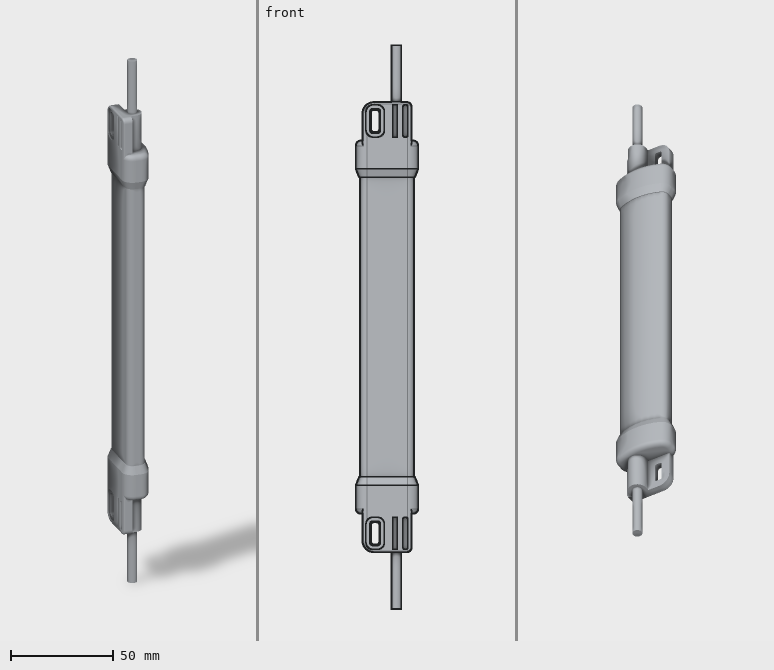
import cadquery as cq
import math

CABLE_TIP_Z = 138.0
TAB_END_Z = 110.2
SHOULDER_Z = 91.4
TAPER_TOP_Z = 77.4
CAP_MOUTH_Z = 73.3
TUBE_END_Z = 85.0

CAP_WIDTH = 30.6
CAP_DEPTH = 15.53
CORNER_RADIUS = 5.3
CROWN_RADIUS = 30.0
TUBE_INSET = 2.0
MOUTH_INSET = 1.6
SHOULDER_FILLET = 2.6

FRONT_Y = -CAP_DEPTH / 2
TAB_WIDTH = 24.2
TAB_BACK_Y = -3.0
TAB_SLOT_SIDE_RADIUS = 5.8
TAB_CABLE_SIDE_RADIUS = 2.5
TAB_RIM_FILLET = 0.8

RECESS_MID_Z = 100.9
RECESS_LENGTH = 15.8
SLOT_X = -5.8
SLOT_RECESS_WIDTH = 9.0
SLOT_RECESS_DEPTH = 0.6
SLOT_LEDGE = 2.6
SLOT_DRAFT = 0.8
SLOT_CORNER_RADIUS = 0.9
GROOVE_DEPTH = 3.0
NARROW_GROOVE_LEFT_X = 2.8
NARROW_GROOVE_RIGHT_X = 4.9
WIDE_GROOVE_LEFT_X = 7.8
WIDE_GROOVE_RIGHT_X = 10.2
WIDE_GROOVE_CORNER_RADIUS = 1.0

CABLE_X = 4.6
CABLE_Y = -0.5
CABLE_DIAMETER = 4.9
CABLE_INNER_Z = SHOULDER_Z
BOSS_RADIUS = 4.65
BOSS_ROOT_DEPTH = 1.0


def section(inset, z):
    """Cap outline moved inwards by `inset`, drawn on the plane at height `z`."""
    half_width = CAP_WIDTH / 2 - inset
    half_depth = CAP_DEPTH / 2 - inset
    corner = CORNER_RADIUS - inset
    crown = CROWN_RADIUS - inset
    corner_x = half_width - corner
    front_corner_y = corner - half_depth
    crown_y = half_depth - crown
    back_corner_y = crown_y + math.sqrt((crown - corner) ** 2 - corner_x**2)
    crown_angle = math.atan2(back_corner_y - crown_y, corner_x)
    crown_end = (crown * math.cos(crown_angle), crown_y + crown * math.sin(crown_angle))
    back_mid = (
        corner_x + corner * math.cos(crown_angle / 2),
        back_corner_y + corner * math.sin(crown_angle / 2),
    )
    diagonal = corner * math.sqrt(0.5)
    front_mid = (corner_x + diagonal, front_corner_y - diagonal)
    return (
        cq.Workplane("XY", origin=(0, 0, z))
        .moveTo(-corner_x, -half_depth)
        .lineTo(corner_x, -half_depth)
        .threePointArc(front_mid, (half_width, front_corner_y))
        .lineTo(half_width, back_corner_y)
        .threePointArc(back_mid, crown_end)
        .threePointArc((0, half_depth), (-crown_end[0], crown_end[1]))
        .threePointArc((-back_mid[0], back_mid[1]), (-half_width, back_corner_y))
        .lineTo(-half_width, front_corner_y)
        .threePointArc((-front_mid[0], front_mid[1]), (-corner_x, -half_depth))
        .close()
    )


def front_plane(x):
    """Plane on the flat front, facing -Y, centred on the recesses and on `x`."""
    return cq.Workplane(cq.Plane((x, FRONT_Y, RECESS_MID_Z), (1, 0, 0), (0, -1, 0)))


def cap_sleeve():
    """Tapered mouth and full-size sleeve, up to the rounded shoulder."""
    mouth_wire = section(MOUTH_INSET, CAP_MOUTH_Z).val()
    full_wire = section(0, TAPER_TOP_Z).val()
    mouth = cq.Solid.makeLoft([mouth_wire, full_wire], True)
    sleeve = section(0, TAPER_TOP_Z).extrude(SHOULDER_Z - TAPER_TOP_Z)
    sleeve = sleeve.faces(">Z").edges().fillet(SHOULDER_FILLET)
    return sleeve.union(cq.Workplane(mouth))


def cap_tab():
    """Flat tab with rounded outer corners that follows the front of the cap."""
    height = TAB_END_Z - TAPER_TOP_Z
    depth = TAB_BACK_Y - FRONT_Y
    base = cq.Workplane("XY", origin=(0, FRONT_Y + depth / 2, TAPER_TOP_Z))
    tab = base.rect(TAB_WIDTH, depth).extrude(height)
    tab = tab.edges("|Y and >Z and <X").fillet(TAB_SLOT_SIDE_RADIUS)
    tab = tab.edges("|Y and >Z and >X").fillet(TAB_CABLE_SIDE_RADIUS)
    tab = tab.intersect(section(0, TAPER_TOP_Z).extrude(height))
    return tab.faces(">Z").edges("<Y").fillet(TAB_RIM_FILLET)


def cable_boss():
    """Half-round boss over the cable, with straight sides down into the tab."""
    wall_y = TAB_BACK_Y - BOSS_ROOT_DEPTH
    return (
        cq.Workplane("XY", origin=(0, 0, TAPER_TOP_Z))
        .moveTo(CABLE_X - BOSS_RADIUS, wall_y)
        .lineTo(CABLE_X + BOSS_RADIUS, wall_y)
        .lineTo(CABLE_X + BOSS_RADIUS, CABLE_Y)
        .threePointArc((CABLE_X, CABLE_Y + BOSS_RADIUS), (CABLE_X - BOSS_RADIUS, CABLE_Y))
        .close()
        .extrude(TAB_END_Z - TAPER_TOP_Z)
    )


def slot_outline(ledge):
    """Upright rounded slot, `ledge` narrower all round than the front recess."""
    outline = cq.Sketch().rect(SLOT_RECESS_WIDTH - 2 * ledge, RECESS_LENGTH - 2 * ledge)
    return outline.vertices().fillet(SLOT_CORNER_RADIUS + SLOT_LEDGE - ledge)


def mounting_slot():
    """Slot through the tab, narrowing to the back, in a shallow front recess."""
    depth = TAB_BACK_Y - FRONT_Y
    back_outline = slot_outline(SLOT_LEDGE).moved(cq.Location(cq.Vector(0, 0, -depth)))
    recess = front_plane(SLOT_X).placeSketch(slot_outline(0)).extrude(-SLOT_RECESS_DEPTH)
    slot = front_plane(SLOT_X).placeSketch(slot_outline(SLOT_LEDGE - SLOT_DRAFT), back_outline).loft()
    return recess.union(slot)


def groove(left_x, right_x):
    """Blind upright groove in the front of the tab."""
    return (
        front_plane((left_x + right_x) / 2).rect(right_x - left_x, RECESS_LENGTH).extrude(-GROOVE_DEPTH)
    )


def make_tube():
    return section(TUBE_INSET, -TUBE_END_Z).extrude(2 * TUBE_END_Z)


def make_cable():
    return (
        cq.Workplane("XY", origin=(CABLE_X, CABLE_Y, CABLE_INNER_Z))
        .circle(CABLE_DIAMETER / 2)
        .extrude(CABLE_TIP_Z - CABLE_INNER_Z)
    )


def make_cap():
    wide_groove = groove(WIDE_GROOVE_LEFT_X, WIDE_GROOVE_RIGHT_X)
    wide_groove = wide_groove.edges("|Y").fillet(WIDE_GROOVE_CORNER_RADIUS)
    return (
        cap_sleeve()
        .union(cap_tab())
        .union(cable_boss())
        .cut(mounting_slot())
        .cut(groove(NARROW_GROOVE_LEFT_X, NARROW_GROOVE_RIGHT_X))
        .cut(wide_groove)
        .cut(make_tube())
        .cut(make_cable())
    )


tube = make_tube()
upper_parts = [make_cap(), make_cable()]

bodies = [tube.val()]
for upper in upper_parts:
    bodies.append(upper.val())
    bodies.append(upper.mirror("XY").val())

result = cq.Compound.makeCompound(bodies)